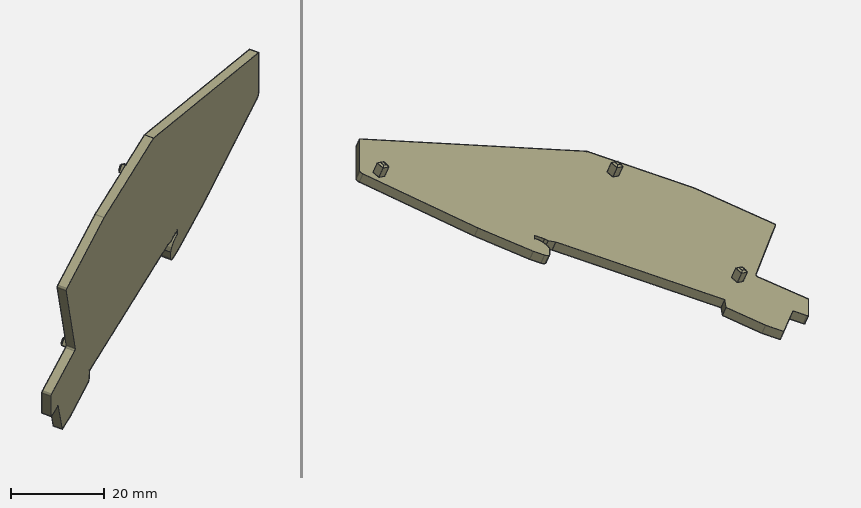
import cadquery as cq
import math

length = 102.9
height = 50.2
total_width = 5.0
plate_thickness = 2.2
peg_length = total_width - plate_thickness

back_top = 22.5
rail_level = 7.2
foot_level = 2.3
front_step_level = 12.3
back_corner_radius = 1.0
hook_tip_radius = 1.2
front_corner_radius = 0.4

peg_diagonal = 2.7
peg_bevel = 0.4
peg_centres = [(98.5, 10.3), (44.9, 44.3), (16.4, 17.6)]


def make_plate():
    """Side plate in the YZ plane, its flat faces at X = 0 and X = plate_thickness."""
    back_corner = (length, 8.3)
    hook_tip = (59.3, 0.0)
    nose_bottom = (0.0, front_step_level)
    nose_top = (0.0, 19.7)
    front_notch = (12.1, 21.8)
    front_top = (7.5, 46.5)
    outline = (
        cq.Workplane("YZ")
        .moveTo(length, back_top)
        .lineTo(*back_corner)
        .lineTo(75.7, 1.9)
        .lineTo(63.1, 0.0)
        .lineTo(*hook_tip)
        .lineTo(59.3, 3.3)
        .threePointArc((60.3, 4.8), (62.8, 5.7))
        .lineTo(62.8, 6.9)
        .lineTo(60.5, 6.9)
        .lineTo(59.7, 6.6)
        .lineTo(57.9, rail_level)
        .lineTo(19.2, rail_level)
        .lineTo(18.9, 4.1)
        .lineTo(9.9, foot_level)
        .lineTo(5.7, foot_level)
        .lineTo(3.6, front_step_level)
        .lineTo(*nose_bottom)
        .lineTo(*nose_top)
        .lineTo(*front_notch)
        .lineTo(*front_top)
        .lineTo(26.3, height)
        .lineTo(50.8, height)
        .close()
    )
    plate = outline.extrude(plate_thickness)
    plate = round_corner(plate, back_corner, back_corner_radius)
    plate = round_corner(plate, hook_tip, hook_tip_radius)
    for corner in (nose_bottom, nose_top, front_notch, front_top):
        plate = round_corner(plate, corner, front_corner_radius)
    return plate


def round_corner(plate, corner, radius):
    """Round the plate edge that runs along X through a (Y, Z) corner."""
    edge_middle = (plate_thickness / 2, *corner)
    return plate.edges(cq.selectors.NearestToPointSelector(edge_middle)).fillet(radius)


def make_peg(centre):
    """Peg on the face X = 0, pointing toward -X."""
    side = peg_diagonal / math.sqrt(2)
    return (
        cq.Workplane("XY")
        .rect(side, side)
        .extrude(peg_length)
        .faces(">Z")
        .chamfer(peg_bevel)
        .rotate((0, 0, 0), (0, 0, 1), 45)
        .rotate((0, 0, 0), (0, 1, 0), -90)
        .translate((0, *centre))
    )


result = make_plate()
for peg_centre in peg_centres:
    result = result.union(make_peg(peg_centre))